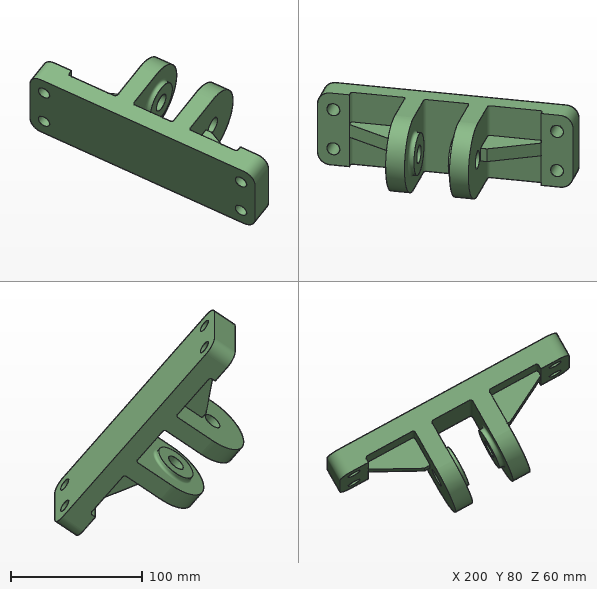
import cadquery as cq

plate_length = 200.0
plate_height = 60.0
plate_thickness = 20.0
plate_corner_radius = 10.0
mount_hole_diameter = 10.0
mount_hole_spacing_x = 175.0
mount_hole_spacing_z = 32.5

recess_length = 150.0
recess_depth = 5.0
recess_fillet = 2.0
recess_floor = plate_thickness - recess_depth

lug_gap = 35.2
lug_thickness = 14.8
lug_radius = plate_height / 2
lug_axis_y = 50.0
pin_hole_diameter = 14.0
lug_inner_x = lug_gap / 2
lug_outer_x = lug_inner_x + lug_thickness

boss_gap = 26.8
boss_diameter = 32.8
boss_fillet = 2.0
boss_height = (lug_gap - boss_gap) / 2

rib_width = 10.5
rib_top_y = 40.0
rib_top_end_x = 37.5


def make_plate():
    plate = (
        cq.Workplane("XY")
        .box(plate_length, plate_thickness, plate_height)
        .translate((0, plate_thickness / 2, 0))
        .edges("|Y")
        .fillet(plate_corner_radius)
    )
    recess = (
        cq.Workplane("XY")
        .box(recess_length, recess_depth, plate_height)
        .translate((0, recess_floor + recess_depth / 2, 0))
    )
    return plate.cut(recess)


def make_lug():
    """Right-hand lug, without its boss."""
    return (
        cq.Workplane("YZ", origin=(lug_inner_x, 0, 0))
        .moveTo(0, -lug_radius)
        .lineTo(lug_axis_y, -lug_radius)
        .threePointArc((lug_axis_y + lug_radius, 0), (lug_axis_y, lug_radius))
        .lineTo(0, lug_radius)
        .close()
        .extrude(lug_thickness)
    )


def make_boss():
    """Right-hand boss, revolved about the pin axis, with a concave fillet at its root."""
    face_x = lug_inner_x - boss_height
    radius = boss_diameter / 2
    root_centre = (lug_inner_x - boss_fillet, radius + boss_fillet)
    diagonal = boss_fillet / 2**0.5
    return (
        cq.Workplane("XY", origin=(0, lug_axis_y, 0))
        .moveTo(face_x, 0)
        .lineTo(face_x, radius)
        .lineTo(root_centre[0], radius)
        .threePointArc(
            (root_centre[0] + diagonal, root_centre[1] - diagonal),
            (lug_inner_x, root_centre[1]),
        )
        .lineTo(lug_inner_x, 0)
        .close()
        .revolve(360, (0, 0, 0), (1, 0, 0))
    )


def make_rib():
    """Right-hand rib, reaching from the recess end wall up to the lug."""
    return (
        cq.Workplane("XY")
        .moveTo(lug_outer_x, recess_floor)
        .lineTo(recess_length / 2, recess_floor)
        .lineTo(recess_length / 2, plate_thickness)
        .lineTo(rib_top_end_x, rib_top_y)
        .lineTo(lug_outer_x, rib_top_y)
        .close()
        .extrude(rib_width / 2, both=True)
    )


def add_pair(body, right_part):
    """Join a right-hand part and its mirror image to the body."""
    return body.union(right_part).union(right_part.mirror("YZ"))


bracket = add_pair(make_plate(), make_lug())
corner_tolerance = 0.2
bracket = bracket.edges(
    cq.selectors.BoxSelector(
        (-plate_length, recess_floor - corner_tolerance, -plate_height),
        (plate_length, recess_floor + corner_tolerance, plate_height),
    )
).edges("|Z").fillet(recess_fillet)

bracket = add_pair(bracket, make_rib())
bracket = add_pair(bracket, make_boss())

pin_hole = (
    cq.Workplane("YZ")
    .center(lug_axis_y, 0)
    .circle(pin_hole_diameter / 2)
    .extrude(plate_length / 2, both=True)
)
bracket = bracket.cut(pin_hole)

mount_holes = (
    cq.Workplane("XZ")
    .rarray(mount_hole_spacing_x, mount_hole_spacing_z, 2, 2)
    .circle(mount_hole_diameter / 2)
    .extrude(-plate_thickness)
)
result = bracket.cut(mount_holes)